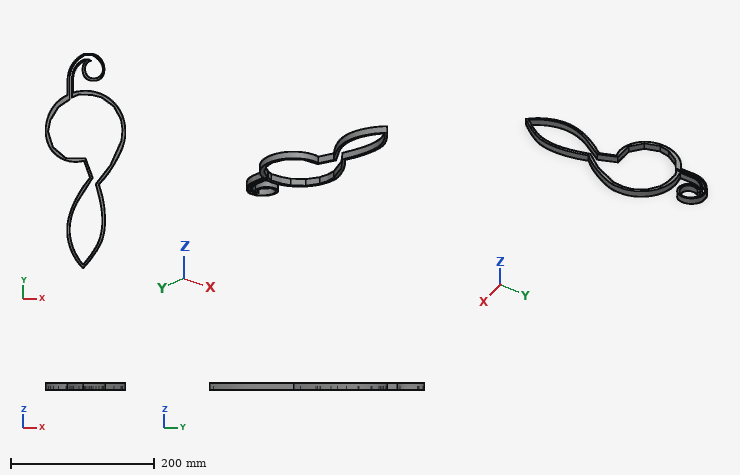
import cadquery as cq


HEIGHT = 10.0
TOP_Y = 300.0

BODY_CENTER = (3.3, 192.5)
BODY_RADIUS = 55.8
BODY_RIGHT = (BODY_CENTER[0] + BODY_RADIUS, BODY_CENTER[1])
BODY_TOP = (BODY_CENTER[0], BODY_CENTER[1] + BODY_RADIUS)

STEM_LEFT_X = -22.0
CHANNEL_LEFT_X = -18.5
CHANNEL_RIGHT_X = -15.5
STEM_RIGHT_X = -13.5
STEM_BEND_Y = 264.5

STEM_LEFT_FOOT_Y = 242.0
CHANNEL_LEFT_FOOT_Y = 236.0
CHANNEL_RIGHT_FOOT_Y = 238.5
STEM_RIGHT_FOOT_Y = 246.0

CURL_FLAT = (1.8, 13.5)
CURL_TOP_WALL = 2.5
LIP_FLAT = (1.8, 7.8)
LIP_FLAT_Y = 292.2
CURL_CREASE = (4.8, 290.7)
CURL_LIP = (11.0, 290.0)

WAIST_LEFT_OUTER = (9.5, 126.5)
WAIST_LEFT_INNER = (13.5, 126.5)
WAIST_RIGHT_OUTER = (22.2, 117.3)
WAIST_RIGHT_INNER = (17.7, 117.5)
BODY_CORNER_OUTER = (1.2, 150.3)
BODY_CORNER_INNER = (3.3, 154.0)
TIP_OUTER = (0.0, 0.0)
TIP_INNER = (0.0, 5.0)


def outer_outline():
    """Clockwise from the tail tip."""
    return (
        cq.Workplane("XY")
        .moveTo(*TIP_OUTER)
        .spline([(-14.5, 19.8), (-22.5, 52.5), (-10.2, 96.5), WAIST_LEFT_OUTER], includeCurrent=True)
        .lineTo(*BODY_CORNER_OUTER)
        .spline(
            [(-10.5, 148.5), (-28.2, 152.5), (-44.5, 165.5), (-52.5, 193.5), (-37.8, 230.7),
             (STEM_LEFT_X, STEM_LEFT_FOOT_Y)],
            includeCurrent=True,
        )
        .lineTo(STEM_LEFT_X, STEM_BEND_Y)
        .threePointArc((-11.7, 289.8), (CURL_FLAT[0], TOP_Y))
        .lineTo(CURL_FLAT[1], TOP_Y)
        .spline(
            [(24.5, 292.8), (30.0, 278.5), (25.8, 266.0), (15.0, 262.0), (3.5, 265.8), (-1.0, 277.0), CURL_CREASE],
            includeCurrent=True,
        )
        .threePointArc((-7.2, 283.0), (STEM_RIGHT_X, STEM_BEND_Y))
        .lineTo(STEM_RIGHT_X, STEM_RIGHT_FOOT_Y)
        .threePointArc((-4.8, 247.8), BODY_TOP)
        .threePointArc((43.2, 231.5), BODY_RIGHT)
        .spline([(57.5, 176.5), (49.2, 155.7), (39.3, 138.5), WAIST_RIGHT_OUTER], includeCurrent=True)
        .spline([(27.5, 98.5), (31.0, 69.5), (27.3, 41.0), (19.8, 25.8), TIP_OUTER], includeCurrent=True)
        .close()
    )


def inner_outline():
    """Anticlockwise from the inside of the tail tip; the body is faceted on this side."""
    curl_inner_y = TOP_Y - CURL_TOP_WALL
    return (
        cq.Workplane("XY")
        .moveTo(*TIP_INNER)
        .spline([(11.7, 19.8), (21.3, 36.5), (26.7, 66.0), (22.5, 99.0), WAIST_RIGHT_INNER], includeCurrent=True)
        .polyline(
            [(38.0, 144.0), (53.5, 178.2), (55.0, 193.8), (52.8, 208.2), (43.0, 226.2), (25.8, 238.8), (12.3, 242.0),
             (-6.3, 242.7)],
            includeCurrent=True,
        )
        .lineTo(CHANNEL_RIGHT_X, CHANNEL_RIGHT_FOOT_Y)
        .lineTo(CHANNEL_RIGHT_X, STEM_BEND_Y)
        .threePointArc((-9.0, 284.0), (LIP_FLAT[0], LIP_FLAT_Y))
        .lineTo(LIP_FLAT[1], LIP_FLAT_Y)
        .lineTo(*CURL_LIP)
        .spline(
            [(5.0, 286.5), (2.7, 277.8), (7.2, 268.0), (14.7, 265.5), (24.3, 269.0), (28.0, 278.5), (22.2, 291.0),
             (CURL_FLAT[1], curl_inner_y)],
            includeCurrent=True,
        )
        .lineTo(CURL_FLAT[0], curl_inner_y)
        .threePointArc((-11.5, 286.5), (CHANNEL_LEFT_X, STEM_BEND_Y))
        .lineTo(CHANNEL_LEFT_X, CHANNEL_LEFT_FOOT_Y)
        .polyline(
            [(-34.5, 225.3), (-45.5, 207.3), (-49.0, 191.0), (-42.0, 169.2), (-24.3, 154.2)],
            includeCurrent=True,
        )
        .lineTo(*BODY_CORNER_INNER)
        .lineTo(*WAIST_LEFT_INNER)
        .spline([(0.5, 106.5), (-9.5, 89.7), (-18.5, 54.5), (-7.5, 15.3), TIP_INNER], includeCurrent=True)
        .close()
    )


result = outer_outline().extrude(HEIGHT).cut(inner_outline().extrude(HEIGHT))